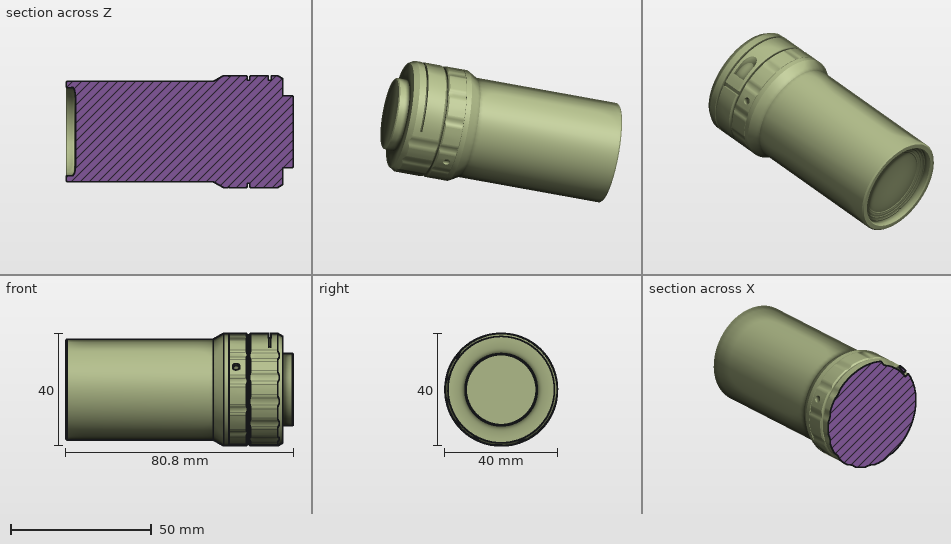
import cadquery as cq
import math


length = 80.8
tube_end = 52.3
flare_end = 56.0
grip_groove_start = 57.75
grip_start = 57.9
grip_end = 64.45
clamp_start = 65.1
slot_start = 72.0
slot_end = 72.8
bevel_start = 75.1
clamp_end = 77.0

ring_diameter = 40.0
ring_radius = ring_diameter / 2
core_radius = 18.4
grip_groove_radius = 19.7
tube_radius = 17.9
bevel_radius = 18.9
spigot_radius = 12.85

tube_chamfer = 0.5
ring_chamfer = 0.5
spigot_chamfer = 0.4

mouth_radius = 15.6
mouth_chamfer = 0.3
mouth_depth = 2.6
retainer_radius = 15.1
retainer_cone_radius = 14.6
retainer_cone_depth = 2.8
retainer_depth = 3.0
inner_ring_radius = 14.1
inner_ring_cone_radius = 13.9
inner_ring_depth = 3.15
lens_rim_radius = 13.2
lens_rim_cone_radius = 12.9
lens_rim_depth = 3.2
lens_cone_radius = 12.4
lens_radius = 12.2
lens_depth = 3.4
notch_width = 0.9
notch_angle = 101.5
notch_inner_radius = 14.95

flute_depth = 0.4
grip_flute_count = 12
grip_flute_angle = 9
grip_flute_half_angle = 6.1
grip_flute_fillet = 2.6
clamp_flute_count = 7
clamp_flute_pitch = 25
clamp_flute_half_angle = 7.4
clamp_flute_fillet = 3.5

spanner_hole_count = 3
spanner_hole_angle = 24
spanner_hole_x = 60.4
spanner_hole_diameter = 2.5
spanner_hole_depth = 1.85

split_angle = 142.7
split_width = 1.5
slot_half_angle = 92.7
screw_x = 68.4
screw_head_diameter = 4.9
screw_diameter = 2.5
screw_axis_radius = 17.5
screw_seat_distance = 4.7

cut_margin = 4
outside = ring_radius + cut_margin


def polar(radius, angle):
    """Point on a (Y, Z) section, as plane coordinates."""
    a = math.radians(angle)
    return (-radius * math.cos(a), radius * math.sin(a))


def section(x):
    """Work plane across the axis with local x = Y, local y = Z and normal +X."""
    return cq.Workplane("YZ", origin=(x, 0, 0))


def turn(points):
    """Solid of revolution about X from (x, radius) points."""
    return cq.Workplane("XZ").polyline(points).close().revolve(360, (0, 0, 0), (1, 0, 0))


def body():
    return turn([
        (0, 0),
        (0, tube_radius - tube_chamfer),
        (tube_chamfer, tube_radius),
        (tube_end, tube_radius),
        (flare_end, ring_radius),
        (grip_groove_start, ring_radius),
        (grip_groove_start, grip_groove_radius),
        (grip_start, grip_groove_radius),
        (grip_start, ring_radius),
        (grip_end - ring_chamfer, ring_radius),
        (grip_end, ring_radius - ring_chamfer),
        (grip_end, core_radius),
        (clamp_start, core_radius),
        (clamp_start, ring_radius - ring_chamfer),
        (clamp_start + ring_chamfer, ring_radius),
        (bevel_start, ring_radius),
        (clamp_end, bevel_radius),
        (clamp_end, spigot_radius),
        (length - spigot_chamfer, spigot_radius),
        (length, spigot_radius - spigot_chamfer),
        (length, 0),
    ])


def lens_seat():
    """Stepped recess down to the flat lens face, with two notches for a pin wrench."""
    seat = turn([
        (0, 0),
        (0, mouth_radius + mouth_chamfer),
        (mouth_chamfer, mouth_radius),
        (mouth_depth, mouth_radius),
        (mouth_depth, retainer_radius),
        (retainer_cone_depth, retainer_radius),
        (retainer_depth, retainer_cone_radius),
        (retainer_depth, inner_ring_radius),
        (inner_ring_depth, inner_ring_cone_radius),
        (inner_ring_depth, lens_rim_radius),
        (lens_rim_depth, lens_rim_cone_radius),
        (lens_rim_depth, lens_cone_radius),
        (lens_depth, lens_radius),
        (lens_depth, 0),
    ])
    notch_length = mouth_radius - notch_inner_radius
    notch_middle = (mouth_radius + notch_inner_radius) / 2
    for side in (0, 180):
        angle = notch_angle + side
        notch = (
            section(mouth_depth)
            .center(*polar(notch_middle, angle))
            .transformed(rotate=(0, 0, -angle))
            .rect(notch_length, notch_width)
            .extrude(retainer_depth - mouth_depth)
        )
        seat = seat.union(notch)
    return seat


def flute(start, end, angle, half_angle, fillet):
    """Cutter for one hollow that blends into the ring through a rounded edge on each side."""
    floor = ring_radius - flute_depth
    edge = ring_radius - fillet
    edge_cos = edge * math.cos(math.radians(half_angle))
    hollow = (
        (fillet**2 - edge**2 - floor**2 + 2 * edge_cos * floor)
        / (2 * (floor - edge_cos - fillet))
    )
    hollow_center = floor + hollow
    edge_sin = edge * math.sin(math.radians(half_angle))
    lean = math.degrees(math.atan2(edge_sin, hollow_center - edge_cos))

    def edge_point(side, turn_angle):
        """Point on a rounded edge, measured from its center."""
        center = polar(edge, angle + side * half_angle)
        offset = polar(fillet, angle + turn_angle)
        return (center[0] + offset[0], center[1] + offset[1])

    def rounded_edge(side):
        """Ring end, middle and hollow end of one rounded edge."""
        ring_turn = side * half_angle
        hollow_turn = -side * lean
        middle_turn = (ring_turn + hollow_turn) / 2
        return [edge_point(side, t) for t in (ring_turn, middle_turn, hollow_turn)]

    first = rounded_edge(-1)
    last = rounded_edge(1)
    return (
        section(start)
        .moveTo(*polar(outside, angle - half_angle))
        .lineTo(*first[0])
        .threePointArc(first[1], first[2])
        .threePointArc(polar(floor, angle), last[2])
        .threePointArc(last[1], last[0])
        .lineTo(*polar(outside, angle + half_angle))
        .close()
        .extrude(end - start)
    )


def spanner_hole(angle):
    y, z = polar(1, angle)
    floor = ring_radius - spanner_hole_depth
    plane = cq.Plane(
        origin=(spanner_hole_x, y * floor, z * floor), xDir=(1, 0, 0), normal=(0, y, z)
    )
    return cq.Workplane(plane).circle(spanner_hole_diameter / 2).extrude(outside - floor)


def sleeve(start, end):
    """Tube between the core and the outside; it limits cuts to the clamp ring's wall."""
    return section(start).circle(outside).circle(core_radius).extrude(end - start)


def clamp_slot():
    """Slot around the ring, spread evenly to both sides of the split."""
    reach = 2 * outside
    sector = (
        section(slot_start)
        .moveTo(0, 0)
        .lineTo(*polar(reach, split_angle - slot_half_angle))
        .threePointArc(
            polar(reach, split_angle), polar(reach, split_angle + slot_half_angle)
        )
        .close()
        .extrude(slot_end - slot_start)
    )
    return sector.intersect(sleeve(slot_start, slot_end))


def clamp_split():
    """Radial cut from the ring's front face to the slot."""
    split = (
        section(clamp_start)
        .transformed(rotate=(0, 0, -split_angle))
        .center(-outside / 2, 0)
        .rect(outside, split_width)
        .extrude(slot_start - clamp_start)
    )
    return split.intersect(sleeve(clamp_start, slot_start))


def clamp_screw():
    """U-shaped head pocket and screw hole at right angles to the split."""
    y, z = polar(screw_axis_radius, split_angle)
    along_y, along_z = polar(1, split_angle - 90)
    seat = (
        screw_x,
        y + screw_seat_distance * along_y,
        z + screw_seat_distance * along_z,
    )
    plane = cq.Plane(origin=seat, xDir=(1, 0, 0), normal=(0, along_y, along_z))
    head_radius = screw_head_diameter / 2
    head_pocket = (
        cq.Workplane(plane)
        .moveTo(-head_radius, outside)
        .lineTo(-head_radius, 0)
        .threePointArc((0, -head_radius), (head_radius, 0))
        .lineTo(head_radius, outside)
        .close()
        .extrude(outside)
    )
    hole = cq.Workplane(plane).circle(screw_diameter / 2).extrude(-screw_seat_distance)
    return head_pocket.union(hole).intersect(sleeve(clamp_start, slot_start))


result = body().cut(lens_seat())

for i in range(grip_flute_count):
    flute_angle = grip_flute_angle + i * 360 / grip_flute_count
    result = result.cut(
        flute(grip_start, grip_end, flute_angle, grip_flute_half_angle, grip_flute_fillet)
    )

for i in range(clamp_flute_count):
    flute_angle = split_angle + 180 + (i - (clamp_flute_count - 1) / 2) * clamp_flute_pitch
    result = result.cut(
        flute(clamp_start, clamp_end, flute_angle, clamp_flute_half_angle, clamp_flute_fillet)
    )

for i in range(spanner_hole_count):
    result = result.cut(spanner_hole(spanner_hole_angle + i * 360 / spanner_hole_count))

result = result.cut(clamp_slot()).cut(clamp_split()).cut(clamp_screw())